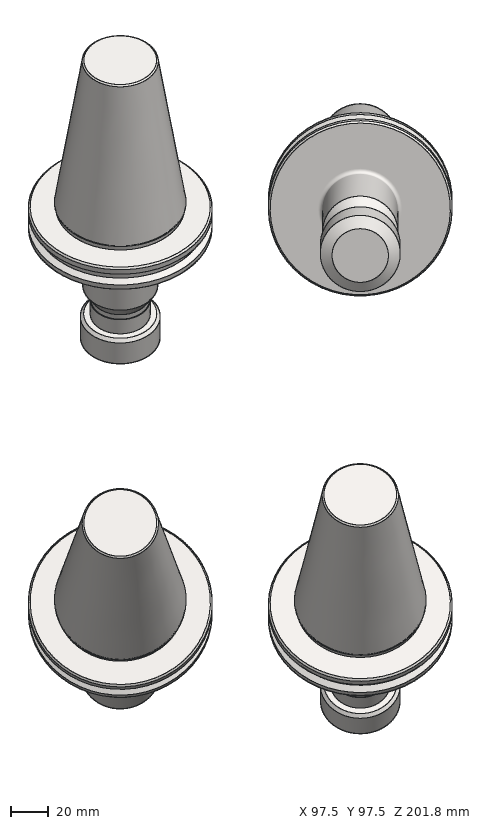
import cadquery as cq
import math

total_height = 201.8

gauge_height = 100.0
gauge_radius = 35.0
taper_per_side = 7 / 48
relief_radius = 34.3
taper_tip_chamfer = 0.8

flange_diameter = 97.5
flange_top = 97.0
flange_bottom = 81.1
flange_chamfer = 1.0
groove_floor_radius = 45.4
groove_floor_width = 3.8
groove_center = 89.0
groove_flank_angle = 30.0

body_radius = 20.0
body_fillet = 2.2
body_bottom = 41.0

neck_radius = 15.5
neck_top = 33.7
collar_radius = 16.0
collar_top = 30.5

nut_radius = 21.2
nut_top = 20.4
nut_top_chamfer = 1.8
nut_face_radius = 15.0
nut_face_chamfer_height = 3.6

flange_radius = flange_diameter / 2
taper_tip_radius = gauge_radius - (total_height - gauge_height) * taper_per_side
taper_edge_height = total_height - taper_tip_chamfer
taper_edge_radius = gauge_radius - (taper_edge_height - gauge_height) * taper_per_side
groove_flank_height = (flange_radius - groove_floor_radius) * math.tan(math.radians(groove_flank_angle))
groove_floor_bottom = groove_center - groove_floor_width / 2
groove_floor_top = groove_center + groove_floor_width / 2
fillet_bottom = flange_bottom - body_fillet
fillet_outer_radius = body_radius + body_fillet
fillet_mid_offset = body_fillet * (1 - math.sqrt(0.5))
fillet_middle = (body_radius + fillet_mid_offset, flange_bottom - fillet_mid_offset)

profile = (
    cq.Workplane("XZ")
    .moveTo(0, 0)
    .lineTo(nut_face_radius, 0)
    .lineTo(nut_radius, nut_face_chamfer_height)
    .lineTo(nut_radius, nut_top - nut_top_chamfer)
    .lineTo(nut_radius - nut_top_chamfer, nut_top)
    .lineTo(collar_radius, nut_top)
    .lineTo(collar_radius, collar_top)
    .lineTo(neck_radius, collar_top)
    .lineTo(neck_radius, neck_top)
    .lineTo(body_radius, body_bottom)
    .lineTo(body_radius, fillet_bottom)
    .threePointArc(fillet_middle, (fillet_outer_radius, flange_bottom))
    .lineTo(flange_radius - flange_chamfer, flange_bottom)
    .lineTo(flange_radius, flange_bottom + flange_chamfer)
    .lineTo(flange_radius, groove_floor_bottom - groove_flank_height)
    .lineTo(groove_floor_radius, groove_floor_bottom)
    .lineTo(groove_floor_radius, groove_floor_top)
    .lineTo(flange_radius, groove_floor_top + groove_flank_height)
    .lineTo(flange_radius, flange_top - flange_chamfer)
    .lineTo(flange_radius - flange_chamfer, flange_top)
    .lineTo(relief_radius, flange_top)
    .lineTo(relief_radius, gauge_height)
    .lineTo(gauge_radius, gauge_height)
    .lineTo(taper_edge_radius, taper_edge_height)
    .lineTo(taper_tip_radius - taper_tip_chamfer, total_height)
    .lineTo(0, total_height)
    .close()
)

result = profile.revolve(360, (0, 0, 0), (0, 1, 0))